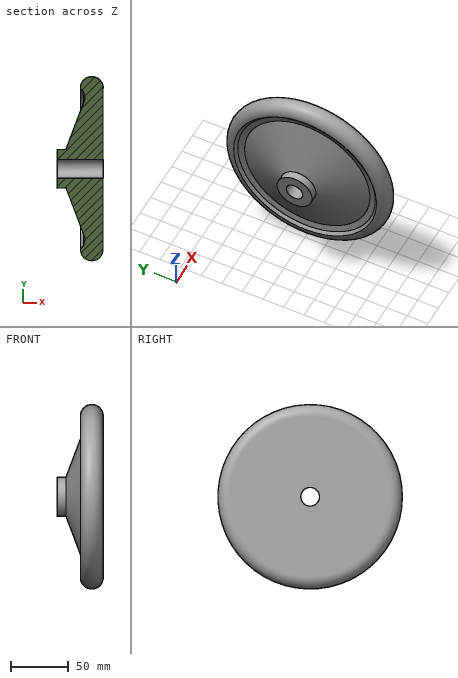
import cadquery as cq
import math

wheel_diameter = 160.0
wheel_width = 40.0
rim_width = 20.0
hub_diameter = 34.0
hub_length = 7.5
bore_diameter = 16.0
cone_diameter = 122.0
cone_depth = 16.6
recess_floor_diameter = 133.8
recess_floor_rise = 1.5
recess_mouth_diameter = 138.9

wheel_radius = wheel_diameter / 2
rim_radius = rim_width / 2
rim_center_radius = wheel_radius - rim_radius
hub_face_x = -wheel_width / 2
back_x = wheel_width / 2
rim_center_x = back_x - rim_radius
cone_start_x = hub_face_x + hub_length
cone_end_x = cone_start_x + cone_depth
recess_floor_x = cone_end_x - recess_floor_rise

mouth_offset = rim_center_radius - recess_mouth_diameter / 2
recess_mouth_x = rim_center_x - math.sqrt(rim_radius**2 - mouth_offset**2)

profile = (
    cq.Workplane("XY")
    .moveTo(hub_face_x, bore_diameter / 2)
    .lineTo(hub_face_x, hub_diameter / 2)
    .lineTo(cone_start_x, hub_diameter / 2)
    .lineTo(cone_end_x, cone_diameter / 2)
    .lineTo(recess_floor_x, recess_floor_diameter / 2)
    .lineTo(recess_mouth_x, recess_mouth_diameter / 2)
    .threePointArc((rim_center_x, wheel_radius), (back_x, rim_center_radius))
    .lineTo(back_x, bore_diameter / 2)
    .close()
)

result = profile.revolve(360, (0, 0, 0), (1, 0, 0))